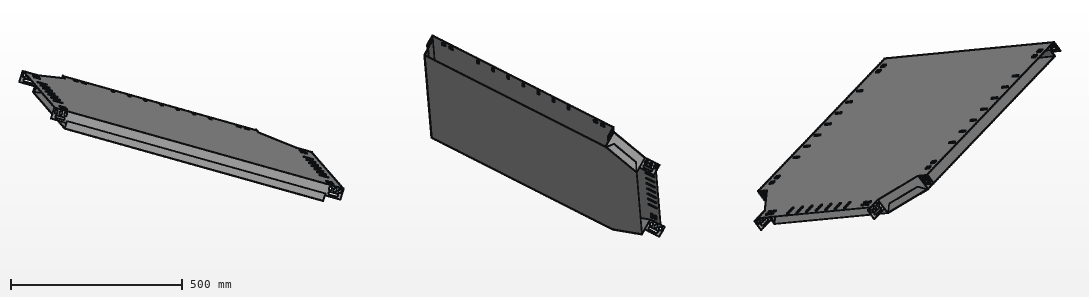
import cadquery as cq
import math


SHEET = 1.0
HEIGHT = 52.0
OVERRUN = 10.0

PORT_WIDTH = 600.0
STEM_HALF_WIDTH = 299.0
WALL_HALF_LENGTH = 399.0
CHAMFER = WALL_HALF_LENGTH - STEM_HALF_WIDTH
STEM_MOUTH_X = -(PORT_WIDTH + CHAMFER)
HALF_CHAMFER_ANGLE = math.radians(22.5)
PORT_MIDDLE_X = -PORT_WIDTH / 2

PORT_EDGE_Y = 445.0
STEM_DECK_OVERHANG = 34.0
STEM_EDGE_X = STEM_MOUTH_X - STEM_DECK_OVERHANG

TAB_LENGTH = 48.0
TAB_HEIGHT = 34.0
PORT_TAB_END_Y = WALL_HALF_LENGTH + TAB_LENGTH
STEM_TAB_END_X = STEM_MOUTH_X - TAB_LENGTH

TAB_OPENING_WIDTH = 8.0
TAB_HOLE_HEIGHT = 12.0
TAB_HOLE_SETBACKS = (9.0, 24.0, 38.0)
TAB_HOLE_DROP = 11.0
TAB_SLOT_LENGTH = 29.0
TAB_SLOT_SETBACK = 25.0
TAB_SLOT_DROP = 24.5

SLOT_SETBACK = 36.0
SLOT_LENGTH = 29.0
SLOT_WIDTH = 7.0
SLOT_PITCH = 50.0
SLOT_COUNT = 7

SMALL_SLOT_LENGTH = 13.0
SMALL_SLOT_OFFSETS = (239.0, 264.0)
SMALL_SLOT_SETBACKS = (29.0, 41.0)

FLANGE_HEIGHT = 24.0
CHAMFER_FLANGE_END_CUT = 20.0
BACK_FLANGE_END_CUT = 0.0

TURN_X = -21.8
TURN_Y = -27.1
TURN_Z = -18.45


def tee_outline(inset, port_reach_y, stem_reach_x):
    """Tee outline with its walled sides moved inward, reaching out to the given port edges."""
    corner_shift = inset * math.tan(HALF_CHAMFER_ANGLE)
    back_x = -inset
    front_x = -PORT_WIDTH + inset
    chamfer_y = WALL_HALF_LENGTH - corner_shift
    chamfer_x = STEM_MOUTH_X + corner_shift
    stem_y = STEM_HALF_WIDTH - inset
    half = [
        (back_x, port_reach_y),
        (front_x, port_reach_y),
        (front_x, chamfer_y),
        (chamfer_x, stem_y),
        (stem_reach_x, stem_y),
    ]
    mirrored = [(x, -y) for x, y in reversed(half)]
    return half + mirrored


def sheet_prism(outline, top_z, depth):
    """Prism of an outline from top_z downward."""
    return cq.Workplane("XY").workplane(offset=top_z).polyline(outline).close().extrude(-depth)


def plan_rectangle(stem_x, half_length):
    """Rectangle from the back wall to stem_x, symmetric about the stem."""
    return [(0, -half_length), (0, half_length), (stem_x, half_length), (stem_x, -half_length)]


def wall_strip():
    """Back wall, chamfer walls and coupling tabs as one bent strip."""
    wall_depth = HEIGHT - SHEET
    outside = sheet_prism(tee_outline(0, PORT_TAB_END_Y, STEM_TAB_END_X), 0, wall_depth)
    inside = tee_outline(SHEET, PORT_TAB_END_Y + OVERRUN, STEM_TAB_END_X - OVERRUN)
    strip = outside.cut(sheet_prism(inside, 0, wall_depth))

    tab_band = sheet_prism(plan_rectangle(STEM_TAB_END_X, PORT_TAB_END_Y), 0, TAB_HEIGHT)
    wall_zone = sheet_prism(plan_rectangle(STEM_MOUTH_X, WALL_HALF_LENGTH), 0, HEIGHT)
    return strip.intersect(tab_band.union(wall_zone))


def slot_row(length, turn, along, setbacks):
    """Slot cutters at all three ports; a turn of 0 points them out of the port, 90 along its edge."""
    side_points = [
        (PORT_MIDDLE_X + a, side * (PORT_TAB_END_Y - setback))
        for a in along
        for setback in setbacks
        for side in (-1, 1)
    ]
    stem_points = [(STEM_TAB_END_X + setback, a) for a in along for setback in setbacks]
    side_slots = cq.Workplane("XY").pushPoints(side_points).slot2D(length, SLOT_WIDTH, turn + 90)
    stem_slots = cq.Workplane("XY").pushPoints(stem_points).slot2D(length, SLOT_WIDTH, turn)
    cutters = side_slots.extrude(OVERRUN, both=True)
    return cutters.add(stem_slots.extrude(OVERRUN, both=True)).combine()


def long_deck_slots():
    middle = (SLOT_COUNT - 1) / 2
    along = [(k - middle) * SLOT_PITCH for k in range(SLOT_COUNT)]
    return slot_row(SLOT_LENGTH, 0, along, (SLOT_SETBACK,))


def small_deck_slots():
    along = [side * offset for side in (-1, 1) for offset in SMALL_SLOT_OFFSETS]
    return slot_row(SMALL_SLOT_LENGTH, 90, along, SMALL_SLOT_SETBACKS)


def tab_openings():
    """Upright holes and the long slot of every tab."""
    tab_ends = []
    for side in (-1, 1):
        tab_ends.append(((0, side * PORT_TAB_END_Y), (0, -side)))
        tab_ends.append(((-PORT_WIDTH, side * PORT_TAB_END_Y), (0, -side)))
        tab_ends.append(((STEM_TAB_END_X, side * STEM_HALF_WIDTH), (1, 0)))

    openings = [(s, TAB_HOLE_DROP, TAB_HOLE_HEIGHT, 90) for s in TAB_HOLE_SETBACKS]
    openings.append((TAB_SLOT_SETBACK, TAB_SLOT_DROP, TAB_SLOT_LENGTH, 0))
    cutters = cq.Workplane("XY")
    for (x, y), (dx, dy) in tab_ends:
        plane = cq.Plane(origin=(x, y, 0), xDir=(dx, dy, 0), normal=(dy, -dx, 0))
        for setback, drop, length, turn in openings:
            hole = cq.Workplane(plane).center(setback, -drop).slot2D(length, TAB_OPENING_WIDTH, turn)
            cutters = cutters.add(hole.extrude(2 * SHEET, both=True))
    return cutters.combine()


def make_tray():
    deck = sheet_prism(tee_outline(0, PORT_EDGE_Y, STEM_EDGE_X), 0, SHEET)
    tray = deck.union(wall_strip())
    return tray.cut(long_deck_slots()).cut(small_deck_slots()).cut(tab_openings())


def flange(middle, outward, length, end_cut):
    """Upright cover flange: a trapezoid against the wall whose outer face passes through middle."""
    plane = cq.Plane(
        origin=(middle[0], middle[1], -HEIGHT),
        xDir=(-outward[1], outward[0], 0),
        normal=(outward[0], outward[1], 0),
    )
    half = length / 2
    corners = [
        (-half, 0),
        (half, 0),
        (half - end_cut, FLANGE_HEIGHT),
        (-half + end_cut, FLANGE_HEIGHT),
    ]
    return cq.Workplane(plane).polyline(corners).close().extrude(SHEET)


def make_cover():
    slide = SHEET * math.sqrt(2)
    half = [
        (SHEET, WALL_HALF_LENGTH),
        (-PORT_WIDTH - slide, WALL_HALF_LENGTH),
        (STEM_MOUTH_X, STEM_HALF_WIDTH + slide),
    ]
    outline = half + [(x, -y) for x, y in reversed(half)]
    cover = sheet_prism(outline, SHEET - HEIGHT, SHEET)
    cover = cover.union(flange((0, 0), (1, 0), 2 * WALL_HALF_LENGTH, BACK_FLANGE_END_CUT))

    chamfer_length = (CHAMFER - slide) * math.sqrt(2)
    chamfer_middle_x = -PORT_WIDTH - CHAMFER / 2
    chamfer_middle_y = STEM_HALF_WIDTH + CHAMFER / 2
    for side in (-1, 1):
        middle = (chamfer_middle_x, side * chamfer_middle_y)
        outward = (-math.sqrt(0.5), side * math.sqrt(0.5))
        cover = cover.union(flange(middle, outward, chamfer_length, CHAMFER_FLANGE_END_CUT))
    return cover


def tilted(body):
    """Body turned from the flat position to the fitting's attitude."""
    body = body.rotate((0, 0, 0), (1, 0, 0), TURN_X)
    body = body.rotate((0, 0, 0), (0, 1, 0), TURN_Y)
    return body.rotate((0, 0, 0), (0, 0, 1), TURN_Z)


tray = tilted(make_tray())
cover = tilted(make_cover())

result = cq.Compound.makeCompound([tray.val(), cover.val()])